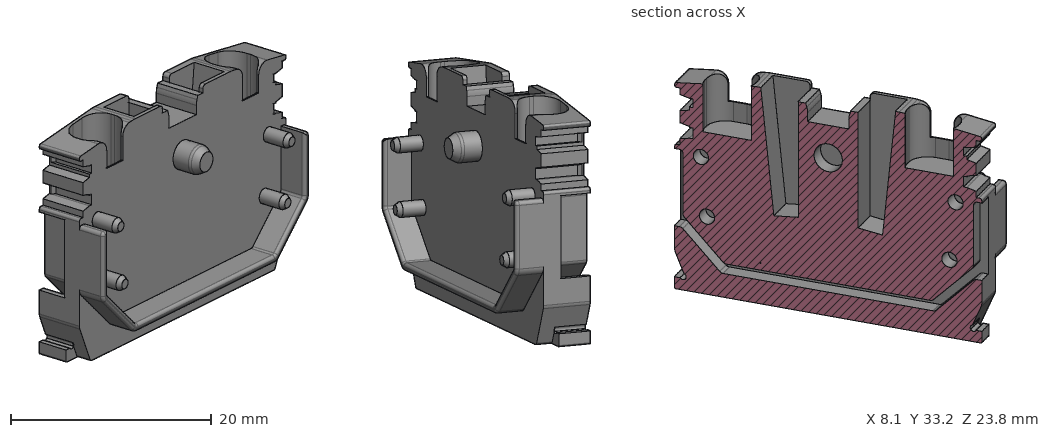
import cadquery as cq
import math


body_thickness = 5.1
total_thickness = 8.1
half_length = 16.62
height = 23.84
plug_length = total_thickness - body_thickness

gap_half_width = 2.2
gap_floor_z = 21.0
ledge_z = 23.0
ledge_start_y = 2.42
ledge_lead_z = 22.3
ledge_lead_round = 2.0
ledge_end_y = 3.25
crest_round = 0.4
crest_end_y = 7.95
crest_blend_radius = 3.8
lip_top_z = 22.7
lip_bottom_z = 22.15
lip_round = 0.25

grip_y = 16.02
groove_y = 15.0
groove_floors = ((19.95, 21.2), (16.87, 18.1))
groove_flank_drop = 0.24
shoulder_z = 15.95
shoulder_round = 0.3
groove_skin = 0.2
groove_relief_depth = 0.35
groove_relief_spans = ((16.87, 18.0), (20.3, 21.2))

foot_thickness = 3.4
foot_top_z = 1.35
foot_slope_top_z = 4.2
foot_slope_bottom_y = 15.4
foot_relief_radius = 0.33
foot_relief_y = 15.7
foot_relief_z = 1.52
foot_edge_round = 0.15
foot_slope_round = 0.85
bottom_edge_round = 0.3

channel_depth = 3.2
channel_inner_y = 15.73
channel_top_z = 15.4
channel_inner_knee_z = 8.2
channel_inner_bottom_z = 3.7
channel_outer_knee_z = 6.95
channel_outer_knee_y = 15.85
channel_outer_bottom_z = 2.66
channel_round = 0.5
channel_top_round = 0.35
wall_outer_y = half_length
wall_top_z = 15.2
wall_knee_z = 7.9
wall_bottom_z = 2.77
wall_thickness = 0.8
wall_outer_round = 1.0
wall_inner_round = 0.4
wall_tip_round = 0.35

center_pin_z = 17.4
center_pin_radius = 1.55
center_hole_radius = 1.5
center_pin_tip_length = 0.9
center_pin_shoulder_round = 0.65
center_pin_tip_inset = 0.5
small_pin_places = ((13.76, 15.0), (13.1, 8.56))
small_pin_radius = 0.8
small_pin_tip_length = 0.5
small_pin_tip_inset = 0.3
hole_depth = channel_depth

entry_x = 2.67
entry_y = 10.93
entry_width = 4.55
entry_length = 5.55
entry_corner = 2.05
entry_depth = 6.0
side_opening_inner_y = 9.64
side_opening_outer_y = 12.22
side_opening_floor_z = 20.0
side_opening_round = 1.2
slot_x = 2.73
slot_width = 3.8
slot_outer_y = 7.26
slot_floor_outer_y = 5.85
slot_floor_z = 10.0
slot_floor_rise = 0.3


def prism(points, x_start, x_end):
    """Extrude a closed (Y, Z) polygon from x_start to x_end."""
    return cq.Workplane("YZ", origin=(x_start, 0, 0)).polyline(points).close().extrude(x_end - x_start)


def rod(y, z, radius, x_start, length):
    """A cylinder along X."""
    return cq.Workplane("YZ", origin=(x_start, y, z)).circle(radius).extrude(length)


def both_sides(points):
    """Complete an outline given from the middle outward on +Y with its mirror image on -Y."""
    return points + [(-y, z) for y, z in reversed(points)]


def mirrored(shape):
    """The shape together with its mirror image across Y = 0."""
    return shape.union(shape.mirror("XZ"))


def round_corners(shape, corners, radius):
    """Fillet the X-direction edges that pass through the given (|Y|, Z) corners."""
    reach = 0.02
    edges = shape.edges("|X").filter(
        lambda edge: any(
            math.hypot(abs(edge.Center().y) - y, edge.Center().z - z) < reach for y, z in corners
        )
    )
    return edges.fillet(radius)


def body_outline():
    points = [
        (gap_half_width, gap_floor_z),
        (gap_half_width, ledge_lead_z),
        (ledge_start_y, ledge_z),
        (ledge_end_y, ledge_z),
        (ledge_end_y, height),
        (crest_end_y, height),
        (half_length, lip_top_z),
        (half_length, lip_bottom_z),
        (grip_y, lip_bottom_z),
    ]
    for floor_low, floor_high in groove_floors:
        points += [
            (grip_y, floor_high + groove_flank_drop),
            (groove_y, floor_high),
            (groove_y, floor_low),
            (grip_y, floor_low - groove_flank_drop),
        ]
    points += [
        (grip_y, shoulder_z),
        (half_length, shoulder_z),
        (half_length, 0),
    ]
    return both_sides(points)


def make_body():
    body = prism(body_outline(), 0, body_thickness)
    body = round_corners(body, [(ledge_end_y, height)], crest_round)
    body = round_corners(body, [(gap_half_width, ledge_lead_z)], ledge_lead_round)
    body = round_corners(body, [(crest_end_y, height)], crest_blend_radius)
    body = round_corners(body, [(half_length, lip_top_z), (half_length, lip_bottom_z)], lip_round)
    body = round_corners(body, [(half_length, shoulder_z)], shoulder_round)
    return round_corners(body, [(half_length, 0)], foot_edge_round)


def add_feet(body):
    """Undercut the body above each foot; the foot itself stops short of the +X face."""
    slope = (half_length - foot_slope_bottom_y) / (foot_slope_top_z - foot_top_z)
    slope_end_y = half_length - slope * foot_slope_top_z
    undercut = prism(
        [
            (half_length, foot_slope_top_z),
            (foot_slope_bottom_y, foot_top_z),
            (half_length, foot_top_z),
        ],
        0,
        body_thickness,
    )
    relief = rod(foot_relief_y, foot_relief_z, foot_relief_radius, 0, foot_thickness)
    behind_foot = prism(
        [
            (half_length, foot_slope_top_z),
            (slope_end_y, 0),
            (half_length, 0),
        ],
        foot_thickness,
        body_thickness,
    )
    body = body.cut(mirrored(undercut.union(relief).union(behind_foot)))
    body = round_corners(body, [(half_length, foot_slope_top_z)], foot_slope_round)
    return round_corners(body, [(slope_end_y, 0)], bottom_edge_round)


def groove_relief_cut():
    """Deepens the grip grooves, leaving a bevelled skin at the -X face."""
    cuts = cq.Workplane()
    bottom_y = groove_y - groove_relief_depth
    for low, high in groove_relief_spans:
        relief = (
            cq.Workplane("XY", origin=(0, 0, low))
            .polyline(
                [
                    (groove_skin, groove_y),
                    (groove_skin + groove_relief_depth, bottom_y),
                    (body_thickness, bottom_y),
                    (body_thickness, groove_y),
                ]
            )
            .close()
            .extrude(high - low)
        )
        cuts = cuts.add(relief)
    return mirrored(cuts.combine())


def channel_cut():
    knee_run = channel_inner_knee_z - channel_inner_bottom_z
    inner_bottom_y = channel_inner_y - knee_run
    outer_bottom_y = channel_outer_knee_y - (channel_outer_knee_z - channel_outer_bottom_z)
    outer = prism(
        both_sides(
            [
                (outer_bottom_y, channel_outer_bottom_z),
                (channel_outer_knee_y, channel_outer_knee_z),
                (half_length, channel_outer_knee_z),
                (half_length, channel_top_z),
            ]
        ),
        0,
        channel_depth,
    )
    outer = round_corners(
        outer,
        [(outer_bottom_y, channel_outer_bottom_z), (channel_outer_knee_y, channel_outer_knee_z)],
        channel_round,
    )
    core = prism(
        both_sides(
            [
                (inner_bottom_y, channel_inner_bottom_z),
                (channel_inner_y, channel_inner_knee_z),
                (channel_inner_y, channel_top_z),
            ]
        ),
        0,
        channel_depth,
    )
    core = round_corners(
        core,
        [
            (inner_bottom_y, channel_inner_bottom_z),
            (channel_inner_y, channel_inner_knee_z),
        ],
        channel_round,
    )
    return round_corners(outer.cut(core), [(channel_inner_y, channel_top_z)], channel_top_round)


def plug_wall():
    """U-shaped wall with 45 degree lower corners and a rounded free edge."""
    knee_run = wall_knee_z - wall_bottom_z
    outer_bottom_y = wall_outer_y - knee_run
    corner_shift = wall_thickness * math.tan(math.pi / 8)
    inner_y = wall_outer_y - wall_thickness
    inner_bottom_y = outer_bottom_y - corner_shift
    inner_knee_z = wall_knee_z + corner_shift
    inner_bottom_z = wall_bottom_z + wall_thickness
    half = [
        (outer_bottom_y, wall_bottom_z),
        (wall_outer_y, wall_knee_z),
        (wall_outer_y, wall_top_z),
        (inner_y, wall_top_z),
        (inner_y, inner_knee_z),
        (inner_bottom_y, inner_bottom_z),
    ]
    wall = prism(both_sides(half), body_thickness, total_thickness)
    wall = round_corners(wall, half[:2], wall_outer_round)
    wall = round_corners(wall, half[2:3], wall_inner_round)
    wall = round_corners(wall, half[4:], wall_inner_round)
    return wall.faces(">X").edges().fillet(wall_tip_round)


def pin(y, z, radius, tip_length, tip_inset):
    shank = rod(y, z, radius, body_thickness, plug_length)
    return shank.faces(">X").chamfer(tip_length, tip_inset)


def top_slope_z(y):
    """Height of the sloping top face at a given |Y|."""
    fall = (height - lip_top_z) / (half_length - crest_end_y)
    return height - fall * (y - crest_end_y)


def add_side_openings(body):
    """Notch the +X side beside each conductor entry and round the notch's top corners."""
    notch = prism(
        [
            (side_opening_inner_y, side_opening_floor_z),
            (side_opening_outer_y, side_opening_floor_z),
            (side_opening_outer_y, height),
            (side_opening_inner_y, height),
        ],
        entry_x,
        body_thickness,
    )
    corners = [(y, top_slope_z(y)) for y in (side_opening_inner_y, side_opening_outer_y)]
    return round_corners(body.cut(mirrored(notch)), corners, side_opening_round)


def entry_cut():
    """Rounded conductor entry."""
    return (
        cq.Workplane("XY", origin=(entry_x, entry_y, height - entry_depth))
        .rect(entry_width, entry_length)
        .extrude(entry_depth)
        .edges("|Z")
        .fillet(entry_corner)
    )


def slot_cut():
    """Rectangular slot with a leaning outer wall and a slightly tilted floor."""
    return prism(
        [
            (ledge_end_y, height),
            (slot_outer_y, height),
            (slot_floor_outer_y, slot_floor_z),
            (ledge_end_y, slot_floor_z + slot_floor_rise),
        ],
        slot_x - slot_width / 2,
        slot_x + slot_width / 2,
    )


def center_pin():
    """Pin with a tapered tip whose shoulder is rounded."""
    tapered = pin(0, center_pin_z, center_pin_radius, center_pin_tip_length, center_pin_tip_inset)
    shoulder_x = total_thickness - center_pin_tip_length
    shoulder = tapered.edges("%CIRCLE").filter(lambda edge: math.isclose(edge.Center().x, shoulder_x))
    return shoulder.fillet(center_pin_shoulder_round)


result = add_side_openings(add_feet(make_body()))
result = result.cut(groove_relief_cut()).cut(channel_cut())
result = result.cut(mirrored(entry_cut())).cut(mirrored(slot_cut()))
result = result.union(plug_wall())
result = result.cut(rod(0, center_pin_z, center_hole_radius, 0, hole_depth)).union(center_pin())
for pin_y, pin_z in small_pin_places:
    small_hole = rod(pin_y, pin_z, small_pin_radius, 0, hole_depth)
    small_pin = pin(pin_y, pin_z, small_pin_radius, small_pin_tip_length, small_pin_tip_inset)
    result = result.cut(mirrored(small_hole)).union(mirrored(small_pin))